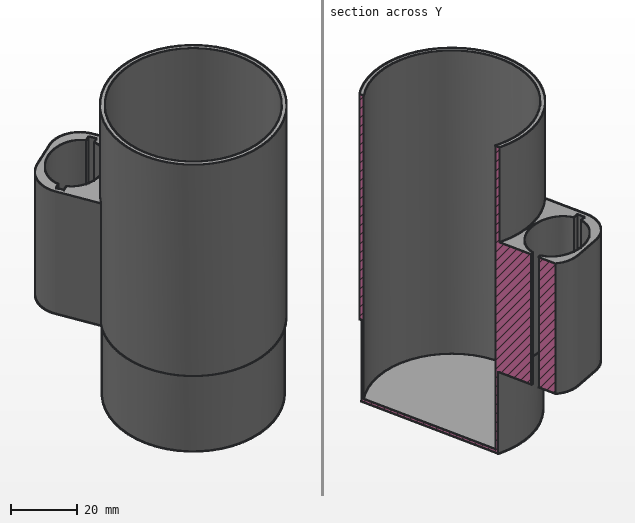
import cadquery as cq

total_height = 113.0
step_height = 30.1
wall = 1.5
upper_diameter = 56.3
lower_diameter = 55.3
bore_diameter = upper_diameter - 2 * wall
floor_thickness = wall

holder_reach = 48.8
holder_width = 29.4
holder_height = 48.0
holder_corner_radius = 10.0
hole_length_x = 18.3
hole_length_y = 22.4
hole_wall = 1.6
hole_center_x = -holder_reach + hole_wall + hole_length_x / 2
key_width = 2.6
key_span = 26.1


def cylinder(diameter, height, base_z):
    return cq.Workplane("XY").workplane(offset=base_z).circle(diameter / 2).extrude(height)


def make_holder():
    """Block from the rounded outer face to the cup axis."""
    block = (
        cq.Workplane("XY")
        .workplane(offset=step_height)
        .center(-holder_reach / 2, 0)
        .rect(holder_reach, holder_width)
        .extrude(holder_height)
    )
    return block.edges("|Z and <X").fillet(holder_corner_radius)


def make_keyed_hole():
    """Oval hole with a key slot at each end of its long axis."""
    plane = cq.Workplane("XY").workplane(offset=step_height).center(hole_center_x, 0)
    oval = plane.ellipse(hole_length_x / 2, hole_length_y / 2).extrude(holder_height)
    keys = plane.rect(key_width, key_span).extrude(holder_height)
    return oval.union(keys)


lower_body = cylinder(lower_diameter, step_height, 0)
upper_body = cylinder(upper_diameter, total_height - step_height, step_height)
bore = cylinder(bore_diameter, total_height - floor_thickness, floor_thickness)
holder = make_holder().cut(make_keyed_hole())

result = lower_body.union(upper_body).union(holder).cut(bore)